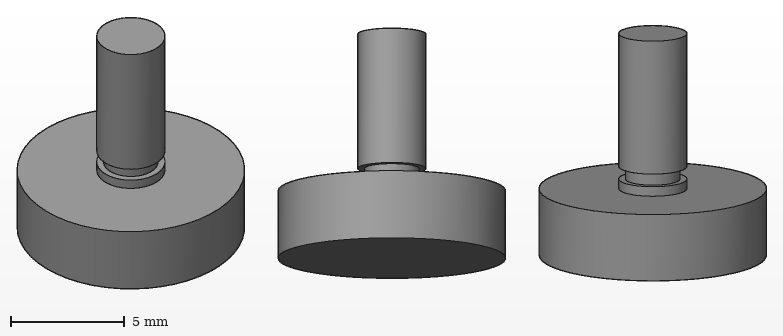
import cadquery as cq

head_diameter = 10.0
head_height = 3.0

total_height = 10.0
shank_diameter = 3.0

groove_diameter = 2.4
groove_top = 4.0
groove_width = 0.57
groove_bottom = groove_top - groove_width


def cylinder(diameter, bottom, top):
    """Upright cylinder on the Z axis between two heights."""
    return cq.Workplane("XY").workplane(offset=bottom).circle(diameter / 2).extrude(top - bottom)


head = cylinder(head_diameter, 0, head_height)
collar = cylinder(shank_diameter, head_height, groove_bottom)
groove_core = cylinder(groove_diameter, groove_bottom, groove_top)
shank = cylinder(shank_diameter, groove_top, total_height)

result = head.union(collar).union(groove_core).union(shank)